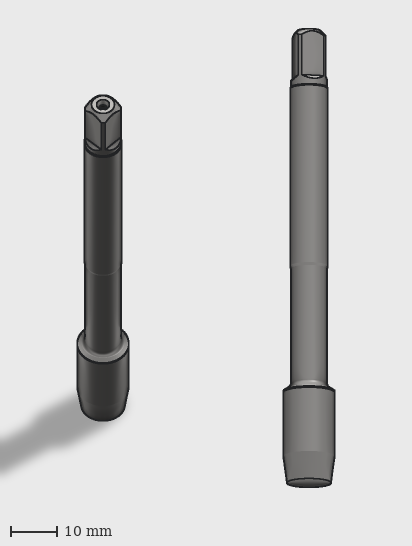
import cadquery as cq
import math

THREAD_DIA = 11.2
LEAD_TIP_DIA = 9.6
LEAD_LENGTH = 5.9
THREAD_LENGTH = 20.0

TOTAL_LENGTH = 100.0
NECK_DIA = 7.9
SHANK_DIA = 8.2
SHOULDER_RIM = 0.3
SHOULDER_CONE_DIA = 9.4
SHOULDER_CONE_TOP = 20.9
NECK_BOTTOM = 22.2
FLARE_MID_DIA = 8.4
FLARE_MID_HEIGHT = 21.3
NECK_TOP = 47.4
NECK_STEP = 0.6
SHANK_TOP = 87.5
SHANK_EDGE = 0.3

SQUARE_WIDTH = 6.2
SQUARE_BOTTOM = 89.6
END_FACE_DIA = 5.0
END_CHAMFER = (NECK_DIA - END_FACE_DIA) / 2

CENTER_DIA = 1.6
CENTER_MOUTH_DIA = 2.8
CENTER_DEPTH = 2.0
MOUTH_ANGLE = 60.0
DRILL_POINT_ANGLE = 120.0


def cone_height(large_dia, small_dia, angle):
    """Height of a cone frustum with the given full angle in degrees."""
    return (large_dia - small_dia) / 2 / math.tan(math.radians(angle / 2))


def revolve_about_z(profile):
    """Turn a closed (radius, height) profile about the Z axis."""
    return profile.close().revolve(360, (0, 0, 0), (0, 1, 0))


def make_thread_body():
    profile = (
        cq.Workplane("XZ")
        .lineTo(LEAD_TIP_DIA / 2, 0)
        .lineTo(THREAD_DIA / 2, LEAD_LENGTH)
        .lineTo(THREAD_DIA / 2, THREAD_LENGTH)
        .lineTo(0, THREAD_LENGTH)
    )
    return revolve_about_z(profile)


def make_shank_blank():
    neck_radius = NECK_DIA / 2
    shank_radius = SHANK_DIA / 2
    profile = (
        cq.Workplane("XZ")
        .moveTo(0, THREAD_LENGTH)
        .lineTo(THREAD_DIA / 2, THREAD_LENGTH)
        .lineTo(THREAD_DIA / 2, THREAD_LENGTH + SHOULDER_RIM)
        .lineTo(SHOULDER_CONE_DIA / 2, SHOULDER_CONE_TOP)
        .threePointArc((FLARE_MID_DIA / 2, FLARE_MID_HEIGHT), (neck_radius, NECK_BOTTOM))
        .lineTo(neck_radius, NECK_TOP)
        .lineTo(shank_radius, NECK_TOP + NECK_STEP)
        .lineTo(shank_radius, SHANK_TOP - SHANK_EDGE)
        .lineTo(neck_radius, SHANK_TOP)
        .lineTo(neck_radius, TOTAL_LENGTH - END_CHAMFER)
        .lineTo(END_FACE_DIA / 2, TOTAL_LENGTH)
        .lineTo(0, TOTAL_LENGTH)
    )
    return revolve_about_z(profile)


def make_flat_cutter():
    """Material beside one flat of the square, with a 45 degree run-out at its foot."""
    inner = SQUARE_WIDTH / 2
    outer = SHANK_DIA / 2
    return (
        cq.Workplane("XZ")
        .moveTo(inner, SQUARE_BOTTOM)
        .lineTo(outer, SQUARE_BOTTOM - (outer - inner))
        .lineTo(outer, TOTAL_LENGTH)
        .lineTo(inner, TOTAL_LENGTH)
        .close()
        .extrude(outer, both=True)
    )


def make_center_hole():
    mouth_bottom = TOTAL_LENGTH - cone_height(CENTER_MOUTH_DIA, CENTER_DIA, MOUTH_ANGLE)
    pilot_bottom = TOTAL_LENGTH - CENTER_DEPTH
    point = pilot_bottom - cone_height(CENTER_DIA, 0, DRILL_POINT_ANGLE)
    profile = (
        cq.Workplane("XZ")
        .moveTo(0, point)
        .lineTo(CENTER_DIA / 2, pilot_bottom)
        .lineTo(CENTER_DIA / 2, mouth_bottom)
        .lineTo(CENTER_MOUTH_DIA / 2, TOTAL_LENGTH)
        .lineTo(0, TOTAL_LENGTH)
    )
    return revolve_about_z(profile)


def make_shank():
    shank = make_shank_blank()
    flat_cutter = make_flat_cutter()
    for angle in (0, 90, 180, 270):
        shank = shank.cut(flat_cutter.rotate((0, 0, 0), (0, 0, 1), angle))
    return shank.cut(make_center_hole())


thread_body = make_thread_body()
shank = make_shank()

result = cq.Compound.makeCompound([thread_body.val(), *shank.vals()])